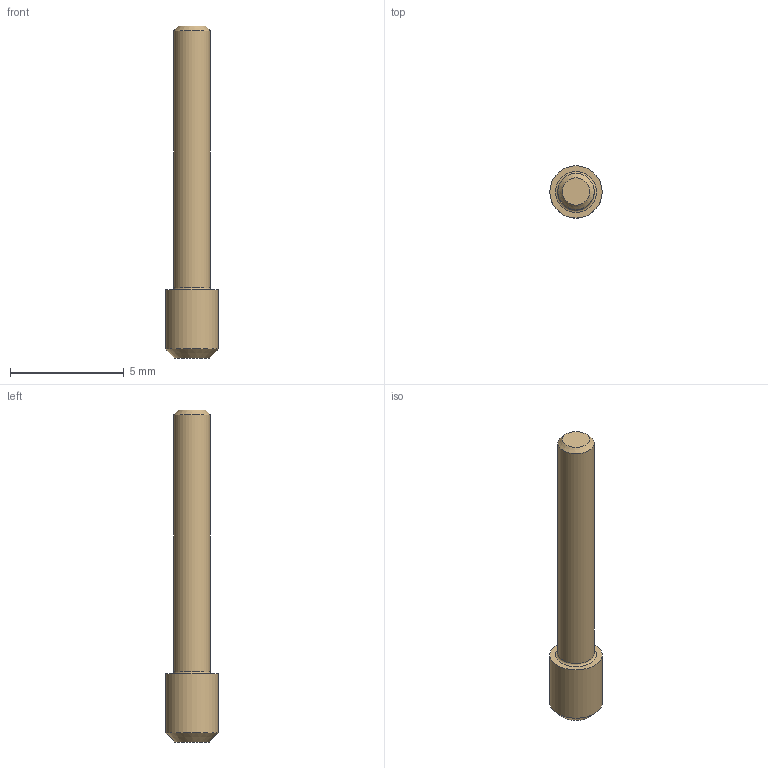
import cadquery as cq
import math

total_length = 14.6
head_diameter = 2.3
head_length = 3.0
head_chamfer = 0.4
shank_diameter = 1.6
tip_chamfer = 0.2
root_fillet = 0.1

head_radius = head_diameter / 2
shank_radius = shank_diameter / 2

fillet_center_radius = shank_radius + root_fillet
fillet_center_z = head_length + root_fillet
fillet_diagonal = root_fillet * math.cos(math.pi / 4)
fillet_midpoint = (-(fillet_center_radius - fillet_diagonal), fillet_center_z - fillet_diagonal)


def pin_half_profile():
    """Closed half section on the -X side of the axis, from the head end up to the tip."""
    return (
        cq.Workplane("XZ")
        .moveTo(0, 0)
        .lineTo(-(head_radius - head_chamfer), 0)
        .lineTo(-head_radius, head_chamfer)
        .lineTo(-head_radius, head_length)
        .lineTo(-fillet_center_radius, head_length)
        .threePointArc(fillet_midpoint, (-shank_radius, fillet_center_z))
        .lineTo(-shank_radius, total_length - tip_chamfer)
        .lineTo(-(shank_radius - tip_chamfer), total_length)
        .lineTo(0, total_length)
        .close()
    )


result = pin_half_profile().revolve(360, (0, 0, 0), (0, 1, 0))